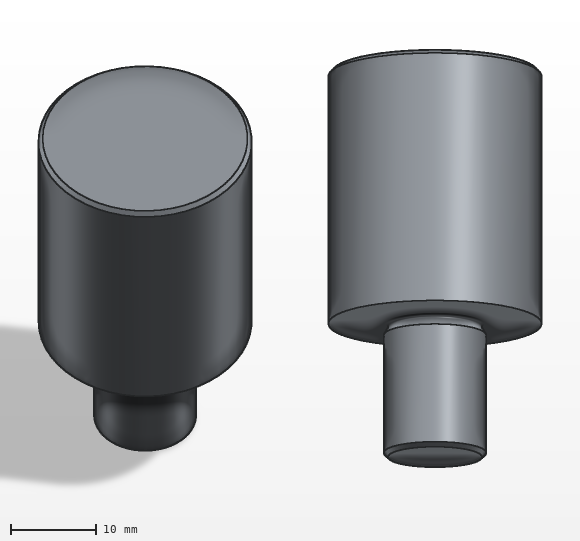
import cadquery as cq
import math

head_diameter = 25.0
head_length = 30.2
head_chamfer = 0.5

shank_diameter = 12.0
shank_length = 16.0
shank_chamfer = 0.5

groove_depth = 0.5
groove_radius = 0.4
runout_angle = math.radians(30)

head_radius = head_diameter / 2
shank_radius = shank_diameter / 2
neck_radius = shank_radius - groove_depth

neck_z = -groove_radius
cone_start_radius = neck_radius + groove_radius * (1 - math.cos(runout_angle))
cone_start_z = neck_z - groove_radius * math.sin(runout_angle)
cone_length = (shank_radius - cone_start_radius) / math.tan(runout_angle)
cone_end_z = cone_start_z - cone_length


def make_head():
    """Cylindrical head standing on Z = 0, with its top rim chamfered."""
    head = cq.Workplane("XY").circle(head_radius).extrude(head_length)
    return head.faces(">Z").chamfer(head_chamfer)


def make_shank():
    """Turned shank below the head, with a relief groove and a chamfered tip."""
    half_profile = (
        cq.Workplane("XZ")
        .lineTo(neck_radius + groove_radius, 0)
        .radiusArc((neck_radius, neck_z), -groove_radius)
        .radiusArc((cone_start_radius, cone_start_z), -groove_radius)
        .lineTo(shank_radius, cone_end_z)
        .lineTo(shank_radius, shank_chamfer - shank_length)
        .lineTo(shank_radius - shank_chamfer, -shank_length)
        .lineTo(0, -shank_length)
        .close()
    )
    return half_profile.revolve(360, (0, 0, 0), (0, 1, 0))


result = make_head().union(make_shank())